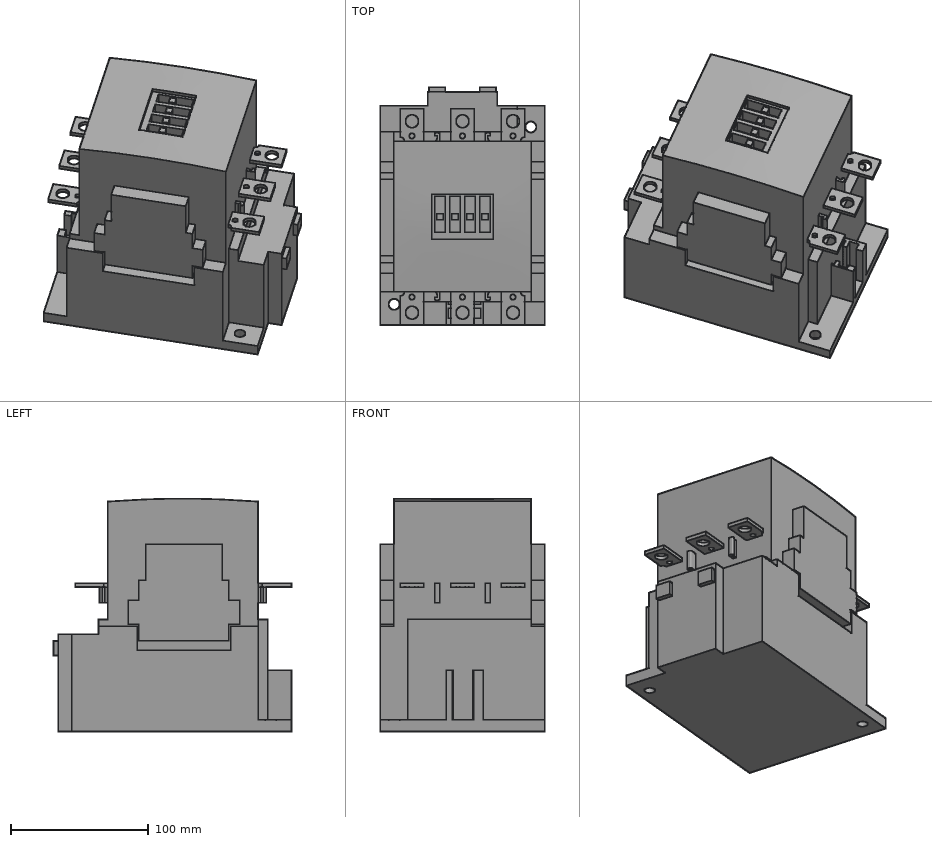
import cadquery as cq


width = 120.0
half_width = width / 2
plate_thickness = 8.6
body_back = 160.0
shoulder_height = 77.0
deck_height = 81.9
rear_deck_height = 71.2
front_slab_y = 17.2
rear_shoulder_y = 140.8
corner_width = 20.0

rear_block_width = 51.0
rear_block_back = 170.0
pad_back = 173.5
pad_width = 12.0
pad_spacing = 37.0
pad_bottom = 55.4
pad_top = 66.2

housing_width = 100.0
housing_half = housing_width / 2
housing_front = 24.4
housing_back = 134.0
housing_mid = (housing_front + housing_back) / 2
housing_edge_height = 167.8
housing_crown_height = 169.9

cover_levels = [
    (32.8, 66.2, 78.2),
    (40.6, 78.2, 95.9),
    (32.8, 95.9, 110.3),
    (27.8, 110.3, 136.7),
]
cover_y = 78.4
seat_half_length = 34.2
seat_bottom = 59.2

mount_diameter = 7.8
mount_x = 49.8
front_mount_y = 15.2
rear_mount_y = 144.4

bar_pitch = 36.8
bar_width = 17.0
bar_bottom = 105.3
bar_top = 108.2
rear_bar_end = 157.7
bar_corner_radius = 3.0
bar_hole_diameter = 9.4
bar_hole_inset = 9.1
pin_hole_diameter = 3.9
pin_hole_gap = 3.9

rib_bottom = 93.9
rib_inner_x = 16.5
rib_outer_x = 20.4
rib_thickness = 2.0
rib_root_thickness = 3.0
rib_neck = 2.0
rib_reach = 6.1
rib_head_length = 2.2
rib_head_radius = 1.0

channel_top = 44.9
channel_front_flange = 5.2
channel_rear_flange = (12.2, 15.2)

left_channel = {"outer_x": -11.8, "web_x": -10.3, "front_flange_x": -7.4, "rear_flange_x": -6.7}
right_channel = {"outer_x": 15.3, "web_x": 13.2, "front_flange_x": 8.1, "rear_flange_x": 7.4}

window_width = 44.7
window_length = 32.6
window_y = 79.0
window_floor = 167.2
slot_count = 4
slot_pitch = 10.9
slot_width = 7.8
slot_length = 26.3
slot_y = 80.8
slot_depth = 10.0
button_size = 4.6
button_y = 79.0


def block(x_range, y_range, z_range):
    """Axis-aligned box given by its limits."""
    (x0, x1), (y0, y1), (z0, z1) = x_range, y_range, z_range
    return cq.Workplane("XY").box(x1 - x0, y1 - y0, z1 - z0, centered=False).translate((x0, y0, z0))


def make_body():
    """Base plate, stepped body and the block on its back."""
    corner_x = half_width - corner_width
    body = block((-half_width, half_width), (0, body_back), (0, plate_thickness))
    body = body.union(block((-half_width, half_width), (housing_front, housing_back), (0, shoulder_height)))
    body = body.union(block((-corner_x, half_width), (front_slab_y, housing_front), (0, shoulder_height)))
    body = body.union(block((-half_width, corner_x), (housing_back, rear_shoulder_y), (0, shoulder_height)))
    body = body.union(block((-corner_x, housing_half), (front_slab_y, housing_mid), (0, deck_height)))
    body = body.union(block((-housing_half, corner_x), (housing_mid, rear_shoulder_y), (0, deck_height)))
    body = body.union(block((-half_width, corner_x), (rear_shoulder_y, body_back), (0, rear_deck_height)))
    block_half = rear_block_width / 2
    body = body.union(
        block((-block_half, block_half), (rear_shoulder_y, rear_block_back), (0, rear_deck_height))
    )
    for side in (-1, 1):
        pad_x = side * pad_spacing / 2
        pad_limits = (pad_x - pad_width / 2, pad_x + pad_width / 2)
        body = body.union(block(pad_limits, (rear_block_back, pad_back), (pad_bottom, pad_top)))
    return body


def make_housing():
    """Tall housing with an arched cover."""
    return (
        cq.Workplane("YZ")
        .moveTo(housing_front, plate_thickness)
        .lineTo(housing_front, housing_edge_height)
        .threePointArc((housing_mid, housing_crown_height), (housing_back, housing_edge_height))
        .lineTo(housing_back, plate_thickness)
        .close()
        .extrude(housing_half, both=True)
    )


def add_side_covers(part):
    """Cut a seat into each shoulder and stand a stepped cover in it."""
    seat_y = (cover_y - seat_half_length, cover_y + seat_half_length)
    for x_range in ((-half_width, -housing_half), (housing_half, half_width)):
        part = part.cut(block(x_range, seat_y, (seat_bottom, shoulder_height)))
        for half_length, bottom, top in cover_levels:
            cover_range = (cover_y - half_length, cover_y + half_length)
            part = part.union(block(x_range, cover_range, (bottom, top)))
    return part


def terminal_bar(index, root_y, end_y):
    """Drilled bar from the housing face at root_y to its free end at end_y."""
    outward = 1 if end_y > root_y else -1
    center_x = index * bar_pitch
    x_range = (center_x - bar_width / 2, center_x + bar_width / 2)
    bar = block(x_range, sorted((root_y, end_y)), (bar_bottom, bar_top))
    if index != 0:
        corner_x = center_x + index * bar_width / 2
        relief = cq.Workplane("XY", origin=(corner_x, root_y, bar_bottom)).circle(bar_corner_radius)
        bar = bar.cut(relief.extrude(bar_top - bar_bottom))
    for diameter, hole_y in (
        (bar_hole_diameter, end_y - outward * bar_hole_inset),
        (pin_hole_diameter, root_y + outward * pin_hole_gap),
    ):
        bar = bar.cut(
            cq.Workplane("XY", origin=(center_x, hole_y, bar_bottom))
            .circle(diameter / 2)
            .extrude(bar_top - bar_bottom)
        )
    return bar


def hooked_rib(side, root_y, outward):
    """Rib with a flared root and a rounded head turned away from the middle of the part."""
    tip_y = root_y + outward * rib_reach
    head_y = tip_y - outward * rib_head_length
    neck_y = root_y + outward * rib_neck
    neck_x = side * (rib_inner_x + rib_thickness)
    root_x = side * (rib_inner_x + rib_root_thickness)
    rib = (
        cq.Workplane("XY", origin=(0, 0, rib_bottom))
        .moveTo(side * rib_inner_x, root_y)
        .lineTo(side * rib_inner_x, tip_y)
        .lineTo(side * rib_outer_x, tip_y)
        .lineTo(side * rib_outer_x, head_y)
        .lineTo(neck_x, head_y)
        .lineTo(neck_x, neck_y)
        .lineTo(root_x, root_y)
        .close()
        .extrude(bar_top - rib_bottom)
    )
    tip_edges = "|Z and >Y" if outward > 0 else "|Z and <Y"
    return rib.edges(tip_edges).fillet(rib_head_radius)


def coil_channel(outer_x, web_x, front_flange_x, rear_flange_x):
    """Upright channel: a web along Y with two flanges towards the middle."""
    z_range = (plate_thickness, channel_top)
    web = block(sorted((outer_x, web_x)), (0, front_slab_y), z_range)
    front_flange = block(sorted((outer_x, front_flange_x)), (0, channel_front_flange), z_range)
    rear_flange = block(sorted((outer_x, rear_flange_x)), channel_rear_flange, z_range)
    return web.union(front_flange).union(rear_flange)


def cut_window(part):
    """Sunken window with four deeper slots, each with a square button."""
    opening = cq.Workplane("XY", origin=(0, window_y, window_floor)).rect(window_width, window_length)
    part = part.cut(opening.extrude(housing_crown_height - window_floor))
    slot_floor = window_floor - slot_depth
    for index in range(slot_count):
        slot_x = (index - (slot_count - 1) / 2) * slot_pitch
        slot = cq.Workplane("XY", origin=(slot_x, slot_y, slot_floor)).rect(slot_width, slot_length)
        part = part.cut(slot.extrude(slot_depth))
        button = cq.Workplane("XY", origin=(slot_x, button_y, slot_floor)).rect(button_size, button_size)
        part = part.union(button.extrude(slot_depth))
    return part


def drill_mounting_holes(part):
    """Two through holes in the cut-away corners."""
    for hole_x, hole_y in ((-mount_x, front_mount_y), (mount_x, rear_mount_y)):
        drill = cq.Workplane("XY", origin=(hole_x, hole_y, 0)).circle(mount_diameter / 2)
        part = part.cut(drill.extrude(plate_thickness))
    return part


part = make_body().union(make_housing())
part = add_side_covers(part)
for bar_index in (-1, 0, 1):
    part = part.union(terminal_bar(bar_index, housing_front, 0))
    part = part.union(terminal_bar(bar_index, housing_back, rear_bar_end))
for rib_side in (-1, 1):
    part = part.union(hooked_rib(rib_side, housing_front, -1))
    part = part.union(hooked_rib(rib_side, housing_back, 1))
part = part.union(coil_channel(**left_channel))
part = part.union(coil_channel(**right_channel))
part = cut_window(part)
result = drill_mounting_holes(part)